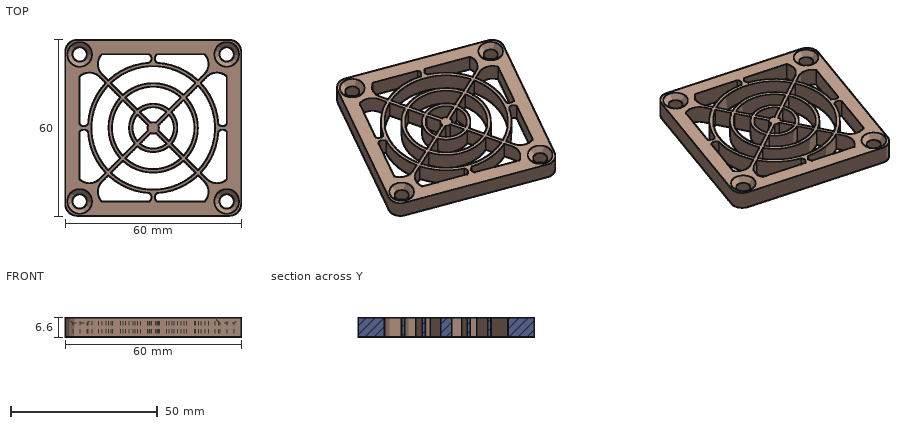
import cadquery as cq
import math

SIDE = 60.0
THICKNESS = 6.6
CORNER_RADIUS = 4.2

HOLE_OFFSET = 25.0
HOLE_DIAMETER = 4.8
COUNTERSINK_DIAMETER = 8.4
COUNTERSINK_ANGLE = 90.0

WEB_WIDTH = 1.25
RING_COUNT = 3
OPENING_RADIUS = 21.0
RING_PITCH = OPENING_RADIUS / RING_COUNT
OUTER_RING_RADIUS = OPENING_RADIUS + WEB_WIDTH
HUB_RADIUS = 2.0

WINDOW_EDGE = HOLE_OFFSET
WINDOW_LENGTH = 17.5
WINDOW_REACH = 18.8
TIE_END_BULGE = 0.7


def make_plate():
    """Rounded square plate with countersunk corner holes."""
    return (
        cq.Workplane("XY")
        .rect(SIDE, SIDE)
        .extrude(THICKNESS)
        .edges("|Z")
        .fillet(CORNER_RADIUS)
        .faces(">Z")
        .workplane()
        .rect(2 * HOLE_OFFSET, 2 * HOLE_OFFSET, forConstruction=True)
        .vertices()
        .cskHole(HOLE_DIAMETER, COUNTERSINK_DIAMETER, COUNTERSINK_ANGLE)
    )


def make_spokes():
    """Two crossed diagonal bars, long enough to pass the outer ring."""
    bar = cq.Workplane("XY").rect(SIDE, WEB_WIDTH).extrude(THICKNESS)
    rising = bar.rotate((0, 0, 0), (0, 0, 1), 45)
    falling = bar.rotate((0, 0, 0), (0, 0, 1), -45)
    return rising.union(falling)


def make_ring_gap(index):
    """Annular gap just inside one ring, counted from the centre."""
    outer_radius = (index + 1) * RING_PITCH
    inner_radius = HUB_RADIUS if index == 0 else index * RING_PITCH + WEB_WIDTH
    return cq.Workplane("XY").circle(outer_radius).circle(inner_radius).extrude(THICKNESS)


def ring_point(angle):
    """Point on the outside of the outermost ring."""
    return (OUTER_RING_RADIUS * math.cos(angle), OUTER_RING_RADIUS * math.sin(angle))


def make_window():
    """Window on the +Y side, just right of the tie at X = 0."""
    spoke_corner = (WINDOW_LENGTH, WINDOW_LENGTH + WEB_WIDTH / math.sqrt(2))
    corner_middle = (WINDOW_REACH, (WINDOW_EDGE + spoke_corner[1]) / 2)

    tie_end_x = WEB_WIDTH / 2 + TIE_END_BULGE
    spoke_angle = math.radians(45) + math.asin(WEB_WIDTH / 2 / OUTER_RING_RADIUS)
    tie_angle = math.acos(tie_end_x / OUTER_RING_RADIUS)
    ring_middle = ring_point((spoke_angle + tie_angle) / 2)
    ring_end = ring_point(tie_angle)

    tie_middle = (WEB_WIDTH / 2, (WINDOW_EDGE + ring_end[1]) / 2)

    return (
        cq.Workplane("XY")
        .moveTo(tie_end_x, WINDOW_EDGE)
        .lineTo(WINDOW_LENGTH, WINDOW_EDGE)
        .threePointArc(corner_middle, spoke_corner)
        .lineTo(*ring_point(spoke_angle))
        .threePointArc(ring_middle, ring_end)
        .threePointArc(tie_middle, (tie_end_x, WINDOW_EDGE))
        .close()
        .extrude(THICKNESS)
    )


def make_guard():
    """Plate with the grille gaps and all the border windows cut through."""
    guard = make_plate()

    spokes = make_spokes()
    for index in range(RING_COUNT):
        guard = guard.cut(make_ring_gap(index).cut(spokes))

    window = make_window()
    window_pair = window.union(window.mirror("YZ"))
    for quarter_turn in range(4):
        guard = guard.cut(window_pair.rotate((0, 0, 0), (0, 0, 1), 90 * quarter_turn))
    return guard


guard = make_guard()
result = cq.Compound.makeCompound([guard.val()])